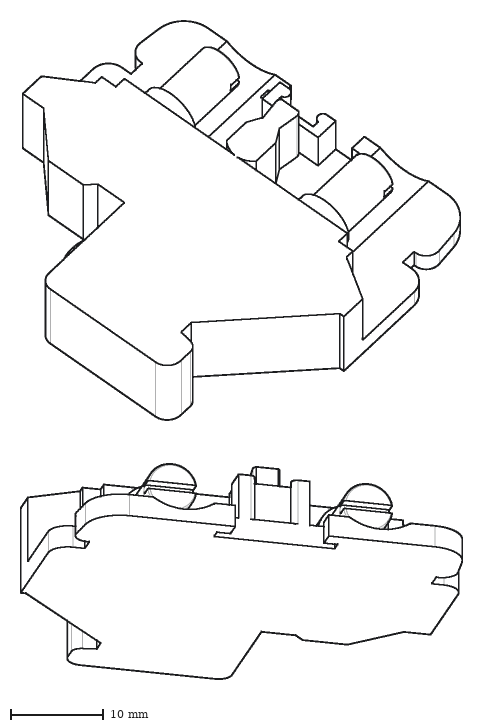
import cadquery as cq
half_width = 23.0
top_y = 15.25
bottom_y = -26.73
thickness = 10.0
plate_thickness = 2.5
shoulder_y = -8.75

lobe_top_x = 20.75
lobe_bottom_x = 21.6
lobe_bottom_y = 7.05
lobe_top_radius = 4.0
lobe_bottom_radius = 1.75
side_notch_x = 19.45
side_notch_bottom_y = 5.15
side_corner_radius = 2.2
slot_mouth_half = 5.25
slot_lip_y = 13.2
slot_floor_half = 6.75
slot_floor_y = 11.95

step_inner_x = 15.95
step_outer_x = 18.0
step_y = -1.43
slope_top_y = -2.5
slope_end_y = -5.6
belly_y = -13.75
belly_right_x = -10.0
belly_left_x = -15.0
relief_y = -12.65
foot_left_x = -5.05
foot_right_x = 13.5
neck_x = 11.0
neck_top_y = -20.15
hook_y = -21.85
hook_corner_y = -22.25
hook_radius = 1.1
foot_left_radius = 1.495
foot_right_radius = 2.0

screw_x = 11.0
screw_z = 6.05
screw_diameter = 5.5
screw_tip_y = 10.25
screw_tip_round = 0.2
collar_diameter = 7.0
collar_length = 2.0
driver_slot_width = 0.9
driver_slot_depth = 1.3
driver_slot_end_round = 0.4
channel_half_width = 3.45
channel_depth = 1.05

bracket_half_width = 4.0
bracket_bottom_y = 9.0
bracket_height = 7.65
pocket_half_width = 2.6
pocket_floor_y = 9.8
pocket_lip_y = 10.63
pocket_neck_half = 2.05
pocket_neck_y = 11.2

knob_head_half = 1.495
knob_head_y = 8.35
knob_tip_half = 1.25
knob_tip_bulge_x = 1.43
knob_tip_bulge_y = 8.75
knob_neck_half = 1.15
knob_neck_y = 5.9
knob_body_half = 2.1
knob_body_top_y = 4.2
knob_end_rise = 0.9
knob_end_y = -0.01

wire_diameter = 1.4
wire_z = 4.55
wire_left_x = -7.18
wire_left_y = -17.85
wire_upper_y = -14.15
wire_lower_y = -22.5
wire_upper_direction = (-0.9, -0.44)
wire_lower_direction = (0.8, -0.6)
wire_embed = 0.45


def mirror_back(points):
    """Return the points mirrored in X, in reverse order, to close a symmetric outline."""
    return [(-x, y) for x, y in reversed(points)]


def both_sides(x, y):
    return [(x, y), (-x, y)]


def prism(points, height):
    return cq.Workplane("XY").polyline(points).close().extrude(height)


def round_corners(solid, corners, radius):
    """Round the upright edges that stand on the given XY corners."""
    mid_z = solid.val().BoundingBox().center.z
    for x, y in corners:
        nearest = cq.selectors.NearestToPointSelector((x, y, mid_z))
        solid = solid.edges("|Z").edges(nearest).fillet(radius)
    return solid


def make_plate():
    """Thin plate with rounded lobes, side notches and the undercut slot."""
    right_edge = [
        (slot_floor_half, slot_floor_y),
        (slot_floor_half, slot_lip_y),
        (slot_mouth_half, slot_lip_y),
        (slot_mouth_half, top_y),
        (lobe_top_x, top_y),
        (lobe_bottom_x, lobe_bottom_y),
        (side_notch_x, lobe_bottom_y),
        (side_notch_x, side_notch_bottom_y),
        (half_width, side_notch_bottom_y),
        (half_width, shoulder_y),
    ]
    plate = prism(right_edge + mirror_back(right_edge), plate_thickness)
    plate = round_corners(plate, both_sides(lobe_top_x, top_y), lobe_top_radius)
    plate = round_corners(plate, both_sides(lobe_bottom_x, lobe_bottom_y), lobe_bottom_radius)
    return round_corners(plate, both_sides(half_width, side_notch_bottom_y), side_corner_radius)


def make_body():
    """Full-height body with a stepped upper edge and an offset, hooked foot."""
    right_edge = [
        (step_inner_x, 0),
        (step_inner_x, step_y),
        (step_outer_x, step_y),
        (step_outer_x, slope_top_y),
        (half_width, slope_end_y),
        (half_width, shoulder_y),
    ]
    lower_edge = [
        (neck_x + shoulder_y - neck_top_y, shoulder_y),
        (neck_x, neck_top_y),
        (neck_x, hook_y),
        (foot_right_x, hook_corner_y),
        (foot_right_x, bottom_y),
        (foot_left_x, bottom_y),
        (foot_left_x, relief_y),
        (belly_right_x + relief_y - belly_y, relief_y),
        (belly_right_x, belly_y),
        (belly_left_x, belly_y),
        (belly_left_x + belly_y - shoulder_y, shoulder_y),
    ]
    body = prism(right_edge + lower_edge + mirror_back(right_edge), thickness)
    body = round_corners(body, [(foot_right_x, hook_corner_y)], hook_radius)
    body = round_corners(body, [(foot_right_x, bottom_y)], foot_right_radius)
    return round_corners(body, [(foot_left_x, bottom_y)], foot_left_radius)


def make_channel(x):
    """Cutter for the shallow arc-bottomed channel in the plate under a screw."""
    return (
        cq.Workplane("XZ", origin=(x, 0, plate_thickness))
        .moveTo(-channel_half_width, 0)
        .threePointArc((0, -channel_depth), (channel_half_width, 0))
        .close()
        .extrude(-top_y)
    )


def make_screw(x):
    """Collar and shank along +Y, with a driver slot across the tip whose floor ends are rounded."""
    radius = screw_diameter / 2
    face = cq.Workplane("XZ", origin=(x, 0, screw_z))
    shank = face.circle(radius).extrude(-screw_tip_y)
    shank = shank.faces(">Y").edges().fillet(screw_tip_round)
    collar = face.circle(collar_diameter / 2).extrude(-collar_length)
    slot_floor = screw_tip_y - driver_slot_depth
    driver_slot = (
        cq.Workplane("XY", origin=(x, 0, screw_z - driver_slot_width / 2))
        .moveTo(0, slot_floor)
        .lineTo(radius - driver_slot_end_round, slot_floor)
        .radiusArc((radius, slot_floor - driver_slot_end_round), driver_slot_end_round)
        .lineTo(radius, screw_tip_y)
        .lineTo(0, screw_tip_y)
        .mirrorY()
        .extrude(driver_slot_width)
    )
    return shank.cut(driver_slot).union(collar)


def make_bracket():
    """U-shaped block with a keyed pocket, standing at the floor of the top slot."""
    block = (
        cq.Workplane("XY")
        .moveTo(-bracket_half_width, bracket_bottom_y)
        .rect(2 * bracket_half_width, slot_floor_y - bracket_bottom_y, centered=False)
        .extrude(bracket_height)
    )
    pocket = (
        cq.Workplane("XY", origin=(0, 0, plate_thickness))
        .moveTo(0, pocket_floor_y)
        .lineTo(pocket_half_width, pocket_floor_y)
        .lineTo(pocket_half_width, pocket_lip_y)
        .threePointArc((pocket_neck_half, pocket_neck_y), (pocket_half_width, slot_floor_y))
        .lineTo(0, slot_floor_y)
        .mirrorY()
        .extrude(bracket_height)
    )
    return block.cut(pocket)


def make_knob():
    """Full-height bottle-shaped knob between the bracket and the clamping face."""
    return (
        cq.Workplane("XY")
        .moveTo(0, bracket_bottom_y)
        .lineTo(knob_tip_half, bracket_bottom_y)
        .threePointArc((knob_tip_bulge_x, knob_tip_bulge_y), (knob_head_half, knob_head_y))
        .lineTo(knob_neck_half, knob_neck_y)
        .lineTo(knob_body_half, knob_body_top_y)
        .lineTo(knob_body_half, knob_end_rise)
        .threePointArc((0, knob_end_y), (-knob_body_half, knob_end_rise))
        .lineTo(-knob_body_half, knob_body_top_y)
        .lineTo(-knob_neck_half, knob_neck_y)
        .lineTo(-knob_head_half, knob_head_y)
        .threePointArc((-knob_tip_bulge_x, knob_tip_bulge_y), (-knob_tip_half, bracket_bottom_y))
        .close()
        .extrude(thickness)
    )


def make_wire():
    """Round wire bowed out of the foot, with both ends buried in it."""
    wire_points = [
        (foot_left_x + wire_embed, wire_upper_y),
        (wire_left_x, wire_left_y),
        (foot_left_x + wire_embed, wire_lower_y),
    ]
    path = cq.Workplane("XY", origin=(0, 0, wire_z)).spline(
        wire_points,
        tangents=[wire_upper_direction, wire_lower_direction],
    )
    section = cq.Plane(
        origin=(wire_points[0][0], wire_upper_y, wire_z),
        xDir=(0, 0, 1),
        normal=(*wire_upper_direction, 0),
    )
    return cq.Workplane(section).circle(wire_diameter / 2).sweep(path)


result = make_plate()
for channel_x in (-screw_x, screw_x):
    result = result.cut(make_channel(channel_x))
for feature in (make_body(), make_bracket(), make_knob(), make_screw(-screw_x), make_screw(screw_x)):
    result = result.union(feature)
result = result.union(make_wire())